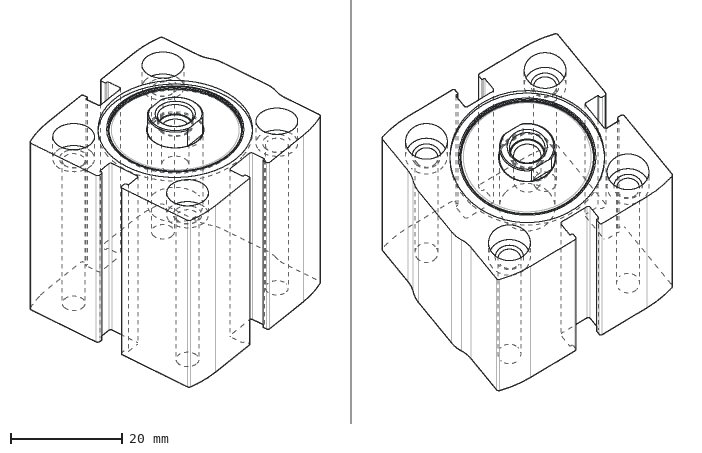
import cadquery as cq
import math

WIDTH = 38.5
HEIGHT = WIDTH
HALF = WIDTH / 2
SIDE_FLAT_HALF = 12.75
SIDE_ARC_RADIUS = 21.0
CORNER_RADIUS = 0.5

PAD_RISE = 0.95
PAD_TOP_HALF = 5.2
PAD_BASE_HALF = 9.9

SLOT_DEPTH = 4.45
SIDE_SLOT_MOUTH = 5.15
SIDE_SLOT_WIDTH = 6.35
SIDE_SLOT_LIP = 1.3
SIDE_SLOT_MOUTH_RADIUS = 0.38
SIDE_SLOT_STEP_RADIUS = 0.15
FRONT_SLOT_MOUTH = 5.05
FRONT_SLOT_WIDTH = 6.5
FRONT_SLOT_LIP = 1.43
FRONT_SLOT_MOUTH_RADIUS = 0.5
SLOT_FLOOR_RADIUS = 0.4

MOUNT_OFFSET = 13.0
MOUNT_BORE_DIAMETER = 4.1
MOUNT_CHAMFER_DIAMETER = 5.12
MOUNT_HEAD_DIAMETER = 7.5
MOUNT_HEAD_DEPTH = 5.1

GROOVE_OUTER_DIAMETER = 27.8
GROOVE_INNER_DIAMETER = 24.7
GROOVE_DEPTH = 0.85
COVER_RECESS = 0.2
COVER_DIAMETER = 23.85
COVER_EDGE_RADIUS = 0.4
SEAM_CHAMFER = 0.15

ROD_DIAMETER = 10.0
ROD_HOLE_CHAMFER = 0.15
ROD_PROJECTION = 3.5
ROD_LENGTH = 21.0
ROD_CHAMFER = 0.2
ROD_FLAT_WIDTH = 9.0
ROD_FLAT_DEPTH = 0.25
SOCKET_RIM_DIAMETER = 7.22
SOCKET_DIAMETER = 6.4
SOCKET_DEPTH = 2.65
DRILL_ENTRY_DIAMETER = 6.0
DRILL_DIAMETER = 4.9
DRILL_DEPTH = 11.75
DRILL_TIP_ANGLE = 118.0

ROD_RADIUS = ROD_DIAMETER / 2
ROD_TOP = HEIGHT + ROD_PROJECTION
COVER_TOP = HEIGHT - COVER_RECESS
ROD_BOTTOM = ROD_TOP - ROD_LENGTH


def revolve_profile(points):
    """Revolve a closed (radius, z) outline about the Z axis."""
    return cq.Workplane("XZ").polyline(points).close().revolve(360, (0, 0, 0), (0, 1, 0))


def round_upright_edges(block, points, radius):
    """Round the vertical edges that stand at the given (x, y) points."""
    for x, y in points:
        edge = cq.selectors.NearestToPointSelector((x, y, HEIGHT / 2))
        block = block.edges("|Z").edges(edge).fillet(radius)
    return block


def make_block():
    """Extrude the outer outline: curved sides, small corner rounds and the raised pad."""
    sweep = math.asin((HALF - SIDE_FLAT_HALF) / SIDE_ARC_RADIUS)
    corner_x = HALF - SIDE_ARC_RADIUS * (1 - math.cos(sweep))
    arc_mid_x = HALF - SIDE_ARC_RADIUS * (1 - math.cos(sweep / 2))
    arc_mid_y = SIDE_FLAT_HALF + SIDE_ARC_RADIUS * math.sin(sweep / 2)
    pad_mid_x = (PAD_TOP_HALF + PAD_BASE_HALF) / 2
    pad_mid_y = HALF + PAD_RISE / 2
    pad_top_y = HALF + PAD_RISE

    outline = (
        cq.Workplane("XY")
        .moveTo(-corner_x, -HALF)
        .lineTo(corner_x, -HALF)
        .threePointArc((arc_mid_x, -arc_mid_y), (HALF, -SIDE_FLAT_HALF))
        .lineTo(HALF, SIDE_FLAT_HALF)
        .threePointArc((arc_mid_x, arc_mid_y), (corner_x, HALF))
        .lineTo(PAD_BASE_HALF, HALF)
        .tangentArcPoint((pad_mid_x, pad_mid_y), relative=False)
        .tangentArcPoint((PAD_TOP_HALF, pad_top_y), relative=False)
        .lineTo(-PAD_TOP_HALF, pad_top_y)
        .tangentArcPoint((-pad_mid_x, pad_mid_y), relative=False)
        .tangentArcPoint((-PAD_BASE_HALF, HALF), relative=False)
        .lineTo(-corner_x, HALF)
        .threePointArc((-arc_mid_x, arc_mid_y), (-HALF, SIDE_FLAT_HALF))
        .lineTo(-HALF, -SIDE_FLAT_HALF)
        .threePointArc((-arc_mid_x, -arc_mid_y), (-corner_x, -HALF))
        .close()
    )
    block = outline.extrude(HEIGHT)
    corners = [(x, y) for x in (-corner_x, corner_x) for y in (-HALF, HALF)]
    return round_upright_edges(block, corners, CORNER_RADIUS)


def slot_cutter(mouth, width, lip, angle):
    """T-slot entering from the -Y side, turned about the bore axis by the given angle."""
    mouth_cut = cq.Workplane("XY").rect(mouth, 2 * lip).extrude(HEIGHT)
    channel = (
        cq.Workplane("XY")
        .center(0, (lip + SLOT_DEPTH) / 2)
        .rect(width, SLOT_DEPTH - lip)
        .extrude(HEIGHT)
        .edges("|Z and >Y")
        .fillet(SLOT_FLOOR_RADIUS)
    )
    return mouth_cut.union(channel).translate((0, -HALF, 0)).rotate((0, 0, 0), (0, 0, 1), angle)


def cut_slots(block):
    """Cut one T-slot in the -Y side and one in each X side, and round their lips."""
    block = block.cut(slot_cutter(FRONT_SLOT_MOUTH, FRONT_SLOT_WIDTH, FRONT_SLOT_LIP, 0))
    for angle in (90, -90):
        block = block.cut(slot_cutter(SIDE_SLOT_MOUTH, SIDE_SLOT_WIDTH, SIDE_SLOT_LIP, angle))

    front_lips = [(x, y) for x in (-FRONT_SLOT_MOUTH / 2, FRONT_SLOT_MOUTH / 2)
                  for y in (-HALF, FRONT_SLOT_LIP - HALF)]
    side_lips = [(x, y) for x in (-HALF, HALF)
                 for y in (-SIDE_SLOT_MOUTH / 2, SIDE_SLOT_MOUTH / 2)]
    step_x = HALF - SIDE_SLOT_LIP
    side_steps = [(x, sign * width / 2) for x in (-step_x, step_x) for sign in (-1, 1)
                  for width in (SIDE_SLOT_MOUTH, SIDE_SLOT_WIDTH)]
    block = round_upright_edges(block, front_lips, FRONT_SLOT_MOUTH_RADIUS)
    block = round_upright_edges(block, side_lips, SIDE_SLOT_MOUTH_RADIUS)
    return round_upright_edges(block, side_steps, SIDE_SLOT_STEP_RADIUS)


def mount_hole_cutter():
    """Through hole with a chamfered entry at the floor of a counterbore."""
    bore = MOUNT_BORE_DIAMETER / 2
    entry = MOUNT_CHAMFER_DIAMETER / 2
    head = MOUNT_HEAD_DIAMETER / 2
    floor = HEIGHT - MOUNT_HEAD_DEPTH
    return revolve_profile([
        (0, 0),
        (bore, 0),
        (bore, floor - (entry - bore)),
        (entry, floor),
        (head, floor),
        (head, HEIGHT),
        (0, HEIGHT),
    ])


def cut_mount_holes(block):
    hole = mount_hole_cutter()
    for x in (-MOUNT_OFFSET, MOUNT_OFFSET):
        for y in (-MOUNT_OFFSET, MOUNT_OFFSET):
            block = block.cut(hole.translate((x, y, 0)))
    return block


def cut_cover(block):
    """Cut the sloped groove, the sunk cover face with its rounded edge, and the blind rod hole."""
    groove = revolve_profile([
        (GROOVE_INNER_DIAMETER / 2, HEIGHT),
        (GROOVE_OUTER_DIAMETER / 2, HEIGHT),
        (GROOVE_OUTER_DIAMETER / 2, HEIGHT - GROOVE_DEPTH),
    ])
    cover = COVER_DIAMETER / 2
    edge_start = cover - COVER_EDGE_RADIUS
    edge_mid = COVER_EDGE_RADIUS * math.sqrt(0.5)
    recess = (
        cq.Workplane("XZ")
        .moveTo(0, COVER_TOP)
        .lineTo(edge_start, COVER_TOP)
        .threePointArc(
            (edge_start + edge_mid, COVER_TOP - COVER_EDGE_RADIUS + edge_mid),
            (cover, COVER_TOP - COVER_EDGE_RADIUS),
        )
        .lineTo(cover, HEIGHT - SEAM_CHAMFER)
        .lineTo(cover + SEAM_CHAMFER, HEIGHT)
        .lineTo(0, HEIGHT)
        .close()
        .revolve(360, (0, 0, 0), (0, 1, 0))
    )
    rod_hole = revolve_profile([
        (0, ROD_BOTTOM),
        (ROD_RADIUS, ROD_BOTTOM),
        (ROD_RADIUS, COVER_TOP - ROD_HOLE_CHAMFER),
        (ROD_RADIUS + ROD_HOLE_CHAMFER, COVER_TOP),
        (0, COVER_TOP),
    ])
    return block.cut(groove).cut(recess).cut(rod_hole)


def make_housing():
    return cut_cover(cut_mount_holes(cut_slots(make_block())))


def rod_socket_cutter():
    """Stepped blind hole in the rod: chamfered rim, socket and a countersunk drilled hole."""
    rim = SOCKET_RIM_DIAMETER / 2
    socket = SOCKET_DIAMETER / 2
    entry = DRILL_ENTRY_DIAMETER / 2
    drill = DRILL_DIAMETER / 2
    tip_length = drill / math.tan(math.radians(DRILL_TIP_ANGLE / 2))
    step_top = ROD_TOP - SOCKET_DEPTH
    drill_end = ROD_TOP - DRILL_DEPTH
    return revolve_profile([
        (0, ROD_TOP),
        (rim, ROD_TOP),
        (socket, ROD_TOP - (rim - socket)),
        (socket, step_top),
        (entry, step_top),
        (drill, step_top - (entry - drill)),
        (drill, drill_end),
        (0, drill_end - tip_length),
    ])


def make_rod():
    """Rod with a chamfered end, two wrench flats and a stepped socket."""
    rod = (
        cq.Workplane("XY")
        .workplane(offset=ROD_BOTTOM)
        .circle(ROD_RADIUS)
        .extrude(ROD_LENGTH)
        .faces(">Z")
        .chamfer(ROD_CHAMFER)
    )
    flat_x = ROD_FLAT_WIDTH / 2
    flat_bottom = COVER_TOP - ROD_FLAT_DEPTH
    for side in (-1, 1):
        flat_cut = (
            cq.Workplane("XZ")
            .polyline([
                (side * flat_x, flat_bottom),
                (side * flat_x, ROD_TOP),
                (side * ROD_DIAMETER, ROD_TOP),
                (side * ROD_DIAMETER, flat_bottom - (ROD_DIAMETER - flat_x)),
            ])
            .close()
            .extrude(ROD_RADIUS, both=True)
        )
        rod = rod.cut(flat_cut)
    return rod.cut(rod_socket_cutter())


housing = make_housing()
rod = make_rod()

result = cq.Compound.makeCompound([housing.val(), rod.val()])